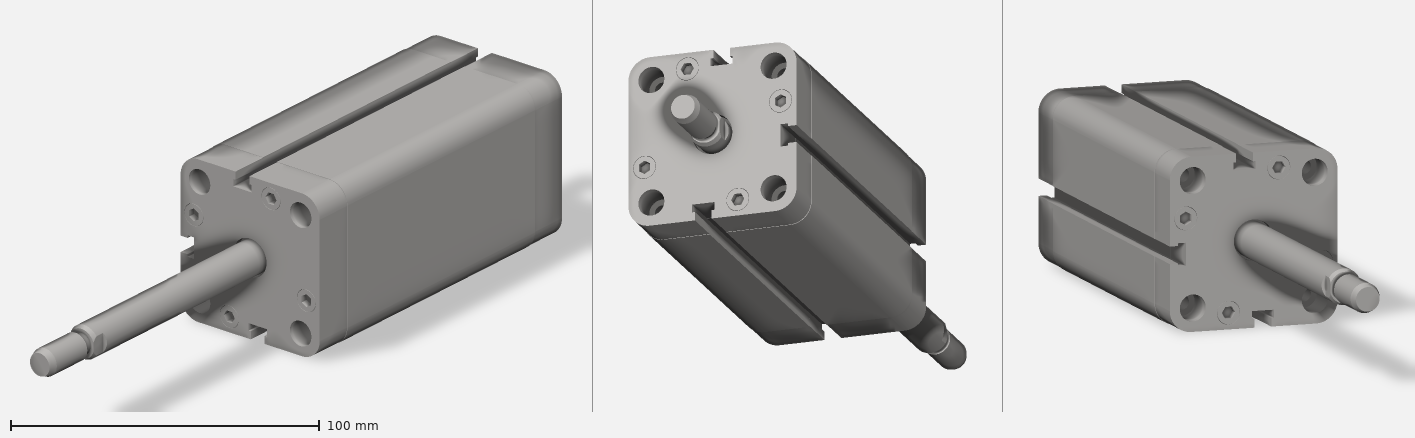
import cadquery as cq

TOTAL_LENGTH = 262.5
HALF_LENGTH = TOTAL_LENGTH / 2
FRONT_ROD_REACH = 108.7
REAR_ROD_REACH = 28.5
BODY_FRONT = FRONT_ROD_REACH - HALF_LENGTH
BODY_REAR = HALF_LENGTH - REAR_ROD_REACH
BODY_LENGTH = BODY_REAR - BODY_FRONT
BODY_MIDDLE = (BODY_FRONT + BODY_REAR) / 2

PROFILE_SIDE = 58.0
CAP_INSET = 0.13
CAP_SIDE = PROFILE_SIDE - 2 * CAP_INSET
CAP_LENGTH = 14.2
CORNER_RADIUS = 7.4
QUARTER_TURNS = (0, 90, 180, 270)

SLOT_OFFSET = 3.2
SLOT_MOUTH_WIDTH = 5.8
SLOT_INNER_WIDTH = 7.5
SLOT_LIP_DEPTH = 3.0
SLOT_DEPTH = 5.5
SLOT_TURNS = (0, 90, 180)

MOUNT_SPACING = 42.0
MOUNT_BORE = 5.0
MOUNT_COUNTERBORE = 9.0
MOUNT_COUNTERBORE_DEPTH = 10.5

SCREW_ALONG = 8.7
SCREW_OUT = 23.4
SCREW_HOLE = 8.0
SCREW_HEAD = 7.5
SCREW_GAP_DEPTH = 2.5
SOCKET_FLATS = 4.0
SOCKET_DEPTH = 2.5

ROD_CLEARANCE = 13.6
ROD_CLEARANCE_DEPTH = 2.5

ROD_DIAMETER = 12.0
THREAD_DIAMETER = 10.0
TIP_DIAMETER = 8.1
NECK_DIAMETER = 7.5
NECK_TAPER_DIAMETER = 8.7
TIP_CHAMFER_LENGTH = 2.5
THREAD_END = 18.5
NECK_TAPER_LENGTH = 0.8
NECK_END = 21.5
SHOULDER_DIAMETER = 10.5
SHOULDER_CHAMFER_LENGTH = 1.5

FLATS_WIDTH = 10.0
FLATS_END = 27.3
FLATS_RUNOUT = 0.8


def upright(shape, start):
    """Lay a shape built along +Z onto the +Y axis, so that its base lies at Y = start."""
    return shape.rotate((0, 0, 0), (1, 0, 0), -90).translate((0, start, 0))


def turn(shape, degrees):
    """Turn a shape counterclockwise about the rod axis, as seen from -Y."""
    return shape.rotate((0, 0, 0), (0, 1, 0), -degrees)


def mirror_to_rear(shape):
    """Mirror a shape from the front end of the body to its rear end."""
    return shape.mirror("XZ", (0, BODY_MIDDLE, 0))


def cylinder(diameter, start, length, x=0.0, z=0.0):
    """Cylinder along +Y from Y = start."""
    return upright(cq.Workplane("XY").circle(diameter / 2).extrude(length), start).translate((x, 0, z))


def top_slot(side, start, length):
    """T-slot along the top of a square section of the given side."""

    def channel(width, top_depth):
        height = SLOT_DEPTH - top_depth
        centre = (-SLOT_OFFSET, start + length / 2, side / 2 - top_depth - height / 2)
        return cq.Workplane("XY").box(width, length, height).translate(centre)

    return channel(SLOT_MOUTH_WIDTH, 0).union(channel(SLOT_INNER_WIDTH, SLOT_LIP_DEPTH))


def section(side, start, length):
    """Rounded square length of the body with its T-slots."""
    block = cq.Workplane("XY").rect(side, side).extrude(length).edges("|Z").fillet(CORNER_RADIUS)
    block = upright(block, start)
    slot = top_slot(side, start, length)
    for degrees in SLOT_TURNS:
        block = block.cut(turn(slot, degrees))
    return block


def screw_cut():
    """Gap around the head of the screw near the top side, and its socket."""
    hole = cylinder(SCREW_HOLE, BODY_FRONT, SCREW_GAP_DEPTH)
    gap = hole.cut(cylinder(SCREW_HEAD, BODY_FRONT, SCREW_GAP_DEPTH))
    socket = cq.Workplane("XY").polygon(6, SOCKET_FLATS, circumscribed=True).extrude(SOCKET_DEPTH)
    socket = turn(upright(socket, BODY_FRONT), 90)
    return gap.union(socket).translate((SCREW_ALONG, 0, SCREW_OUT))


def cut_both_ends(solid, shape):
    """Cut a shape from the front end of the body and its mirror image from the rear end."""
    return solid.cut(shape).cut(mirror_to_rear(shape))


def body():
    """Profile and both end caps, with all holes."""
    front_cap = section(CAP_SIDE, BODY_FRONT, CAP_LENGTH)
    profile = section(PROFILE_SIDE, BODY_FRONT + CAP_LENGTH, BODY_LENGTH - 2 * CAP_LENGTH)
    solid = profile.union(front_cap).union(mirror_to_rear(front_cap))

    half_spacing = MOUNT_SPACING / 2
    for x in (-half_spacing, half_spacing):
        for z in (-half_spacing, half_spacing):
            solid = solid.cut(cylinder(MOUNT_BORE, BODY_FRONT, BODY_LENGTH, x, z))
            counterbore = cylinder(MOUNT_COUNTERBORE, BODY_FRONT, MOUNT_COUNTERBORE_DEPTH, x, z)
            solid = cut_both_ends(solid, counterbore)

    for degrees in QUARTER_TURNS:
        solid = cut_both_ends(solid, turn(screw_cut(), degrees))

    return cut_both_ends(solid, cylinder(ROD_CLEARANCE, BODY_FRONT, ROD_CLEARANCE_DEPTH))


def wrench_flat():
    """Cutter for the flat on the +X side of the front rod end."""
    flat_x = FLATS_WIDTH / 2
    rod_x = ROD_DIAMETER / 2
    start_y = NECK_END - HALF_LENGTH
    end_y = FLATS_END - HALF_LENGTH
    outline = [(flat_x, start_y), (flat_x, end_y - FLATS_RUNOUT), (rod_x, end_y), (rod_x, start_y)]
    return cq.Workplane("XY").polyline(outline).close().extrude(ROD_DIAMETER / 2, both=True)


def front_rod():
    """Front half of the rod, from its tip at Y = -HALF_LENGTH to the origin."""
    tip = -HALF_LENGTH
    thread_end = tip + THREAD_END
    neck_end = tip + NECK_END
    rod_radius = ROD_DIAMETER / 2
    rod = (
        cq.Workplane("XY")
        .moveTo(0, tip)
        .lineTo(TIP_DIAMETER / 2, tip)
        .lineTo(THREAD_DIAMETER / 2, tip + TIP_CHAMFER_LENGTH)
        .lineTo(THREAD_DIAMETER / 2, thread_end)
        .lineTo(NECK_TAPER_DIAMETER / 2, thread_end)
        .lineTo(NECK_DIAMETER / 2, thread_end + NECK_TAPER_LENGTH)
        .lineTo(NECK_DIAMETER / 2, neck_end)
        .lineTo(SHOULDER_DIAMETER / 2, neck_end)
        .lineTo(rod_radius, neck_end + SHOULDER_CHAMFER_LENGTH)
        .lineTo(rod_radius, 0)
        .lineTo(0, 0)
        .close()
        .revolve(360, (0, 0, 0), (0, 1, 0))
    )
    flat = wrench_flat()
    return rod.cut(flat).cut(flat.mirror("YZ"))


half_rod = front_rod()
result = body().union(half_rod).union(half_rod.mirror("XZ"))